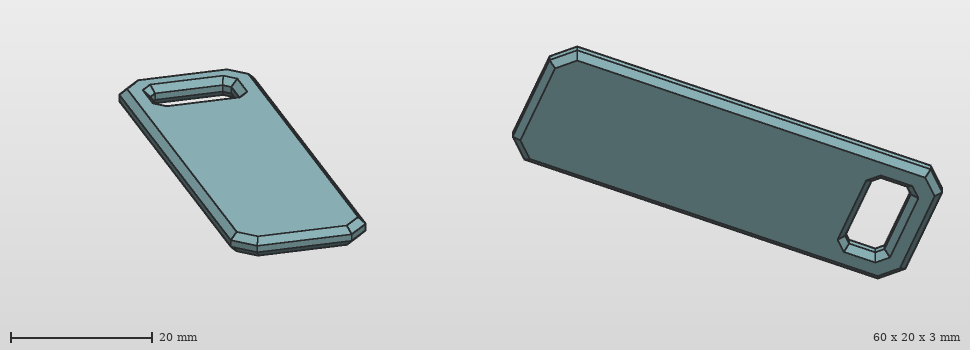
import cadquery as cq

length = 60.0
width = length / 3
thickness = 3.0
corner_cut = 3.0
bevel = thickness / 3

slot_margin = 3.0
slot_throat_x = 6.0
slot_throat_y = width - 2 * (slot_margin + bevel)
slot_corner_cut = bevel
slot_center_x = -length / 2 + slot_margin + bevel + slot_throat_x / 2


def cut_corner_block(size_x, size_y, cut):
    """Plate-thick block standing on Z = 0 with its upright corners cut at 45 degrees."""
    block = cq.Workplane("XY").box(size_x, size_y, thickness, centered=(True, True, False))
    return block.edges("|Z").chamfer(cut)


plate = cut_corner_block(length, width, corner_cut)
slot = cut_corner_block(slot_throat_x, slot_throat_y, slot_corner_cut)
slot = slot.translate((slot_center_x, 0, 0))

result = plate.cut(slot).faces("<Z or >Z").edges().chamfer(bevel)